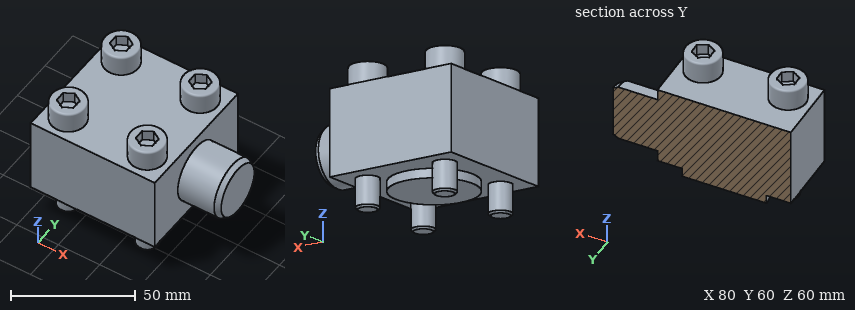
import cadquery as cq

BLOCK_SIDE = 60.0
BLOCK_HEIGHT = 37.0

SPIGOT_DIAMETER = 38.0
SPIGOT_HEIGHT = 4.0

PIPE_DIAMETER = 26.9
PIPE_LENGTH = 20.0
PIPE_BEVEL_LENGTH = 2.5
PIPE_BEVEL_DEPTH = 1.4

SCREW_SPACING = 38.2
SHANK_DIAMETER = 10.0
SHANK_PROTRUSION = 13.0
SHANK_CHAMFER = 0.9
HEAD_DIAMETER = 16.0
HEAD_HEIGHT = SHANK_DIAMETER
HEAD_FILLET = SHANK_DIAMETER / 10
SOCKET_SIDES = 6
SOCKET_FLATS = 8.0
SOCKET_DEPTH = HEAD_HEIGHT / 2


def make_block():
    return cq.Workplane("XY").box(BLOCK_SIDE, BLOCK_SIDE, BLOCK_HEIGHT, centered=(True, True, False))


def make_spigot():
    return cq.Workplane("XY").circle(SPIGOT_DIAMETER / 2).extrude(-SPIGOT_HEIGHT)


def make_pipe():
    """Pipe stub along +X at mid height, with a bevelled free end."""
    start = BLOCK_SIDE / 2
    end = start + PIPE_LENGTH
    radius = PIPE_DIAMETER / 2
    profile = (
        cq.Workplane("XY")
        .moveTo(start, 0)
        .lineTo(start, radius)
        .lineTo(end - PIPE_BEVEL_LENGTH, radius)
        .lineTo(end, radius - PIPE_BEVEL_DEPTH)
        .lineTo(end, 0)
        .close()
    )
    pipe = profile.revolve(360, (0, 0, 0), (1, 0, 0))
    return pipe.translate((0, 0, BLOCK_HEIGHT / 2))


def make_head():
    """Screw head on Z = 0 with a hexagon socket whose corners point along Y."""
    head = cq.Workplane("XY").circle(HEAD_DIAMETER / 2).extrude(HEAD_HEIGHT)
    head = head.faces(">Z").edges().fillet(HEAD_FILLET)
    socket = (
        cq.Workplane("XY")
        .polygon(SOCKET_SIDES, SOCKET_FLATS, circumscribed=True)
        .extrude(SOCKET_DEPTH)
        .translate((0, 0, HEAD_HEIGHT - SOCKET_DEPTH))
    )
    return head.cut(socket)


def make_shank_end():
    """Chamfered end of a screw shank, hanging down from Z = 0."""
    shank = cq.Workplane("XY").circle(SHANK_DIAMETER / 2).extrude(-SHANK_PROTRUSION)
    return shank.faces("<Z").chamfer(SHANK_CHAMFER)


result = make_block().union(make_spigot()).union(make_pipe())
for x in (-SCREW_SPACING / 2, SCREW_SPACING / 2):
    for y in (-SCREW_SPACING / 2, SCREW_SPACING / 2):
        result = result.union(make_head().translate((x, y, BLOCK_HEIGHT)))
        result = result.union(make_shank_end().translate((x, y, 0)))